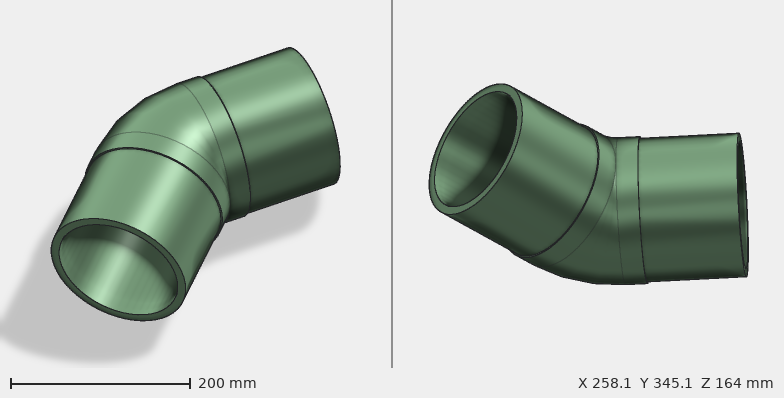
import cadquery as cq
import math

bend_angle = 45.0
body_diameter = 164.0
spigot_diameter = 160.0
bore_diameter = 141.0
collar_length = 24.5
spigot_length = 110.5

throat_radius = 0.17
body_bend_radius = body_diameter / 2 + throat_radius
bore_bend_radius = bore_diameter / 2 + throat_radius

angle = math.radians(bend_angle)
body_bend_setback = body_bend_radius * math.tan(angle / 2)
bore_bend_setback = bore_bend_radius * math.tan(angle / 2)
end_distance = body_bend_setback + collar_length + spigot_length

inlet_plane = cq.Plane(origin=(0, 0, 0), xDir=(1, 0, 0), normal=(0, -1, 0))
outlet_plane = cq.Plane(
    origin=(0, 0, 0), xDir=(0, 0, 1), normal=(math.sin(angle), math.cos(angle), 0)
)
leg_planes = (inlet_plane, outlet_plane)


def bend(diameter, radius, setback):
    """Round bar bent about a vertical axis, tangent to both legs."""
    return (
        cq.Workplane("XZ", origin=(0, -setback, 0))
        .circle(diameter / 2)
        .revolve(bend_angle, (radius, 3.5, 0), (radius, -3.5, 0))
    )


def straight(plane, diameter, start, end):
    """Round bar along a leg, between two distances from the origin."""
    return cq.Workplane(plane).workplane(offset=start).circle(diameter / 2).extrude(end - start)


outside = bend(body_diameter, body_bend_radius, body_bend_setback)
bore = bend(bore_diameter, bore_bend_radius, bore_bend_setback)
for plane in leg_planes:
    collar_end = body_bend_setback + collar_length
    outside = outside.union(straight(plane, body_diameter, body_bend_setback, collar_end))
    outside = outside.union(straight(plane, spigot_diameter, collar_end, end_distance))
    bore = bore.union(straight(plane, bore_diameter, bore_bend_setback, end_distance))

result = outside.cut(bore)